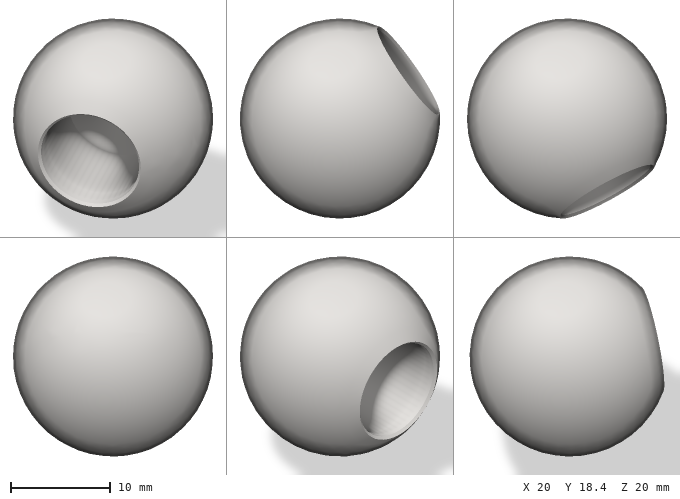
import cadquery as cq
import math

ball_diameter = 20.0
length_y = 18.45

hole_diameter = 10.2
hole_depth = 10.0
drill_point_angle = 118.0

ball_radius = ball_diameter / 2
hole_radius = hole_diameter / 2
mouth_y = ball_radius - length_y
wall_end_y = mouth_y + hole_depth
point_y = wall_end_y + hole_radius / math.tan(math.radians(drill_point_angle / 2))

mouth_radius = math.sqrt(ball_radius**2 - mouth_y**2)
chamfer = mouth_radius - hole_radius


def make_half_section():
    """Section of the drilled ball on the +X side of the Y axis."""
    return (
        cq.Workplane("XY")
        .moveTo(0, ball_radius)
        .lineTo(0, point_y)
        .lineTo(hole_radius, wall_end_y)
        .lineTo(hole_radius, mouth_y + chamfer)
        .lineTo(mouth_radius, mouth_y)
        .threePointArc((ball_radius, 0), (0, ball_radius))
        .close()
    )


result = make_half_section().revolve(360, (0, 0, 0), (0, 1, 0))